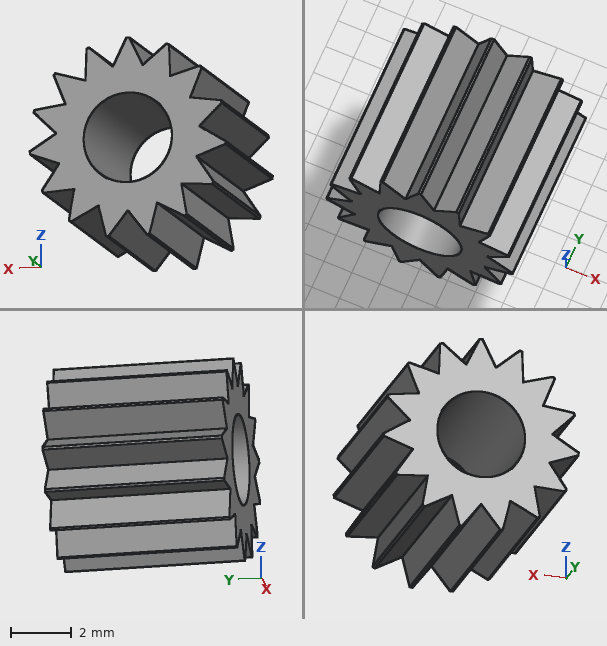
import cadquery as cq
import math

tooth_count = 15
tip_radius = 3.35
root_radius = 2.455
tip_width = 0.095
bore_diameter = 3.0
length = 6.0

tooth_pitch = 360.0 / tooth_count
first_tooth_angle = 90.0


def polar_point(radius, angle):
    """Point in the gear plane at an angle in degrees from +X."""
    return (radius * math.cos(math.radians(angle)), radius * math.sin(math.radians(angle)))


def gear_outline():
    """Pointed teeth with narrow flat tips, meeting in sharp V roots."""
    tip_half_angle = math.degrees(math.asin(tip_width / 2 / tip_radius))
    tip_corner_radius = math.hypot(tip_radius, tip_width / 2)
    points = []
    for tooth in range(tooth_count):
        center_angle = first_tooth_angle + tooth * tooth_pitch
        points.append(polar_point(tip_corner_radius, center_angle - tip_half_angle))
        points.append(polar_point(tip_corner_radius, center_angle + tip_half_angle))
        points.append(polar_point(root_radius, center_angle + tooth_pitch / 2))
    return points


result = (
    cq.Workplane("XZ")
    .polyline(gear_outline())
    .close()
    .circle(bore_diameter / 2)
    .extrude(length / 2, both=True)
)